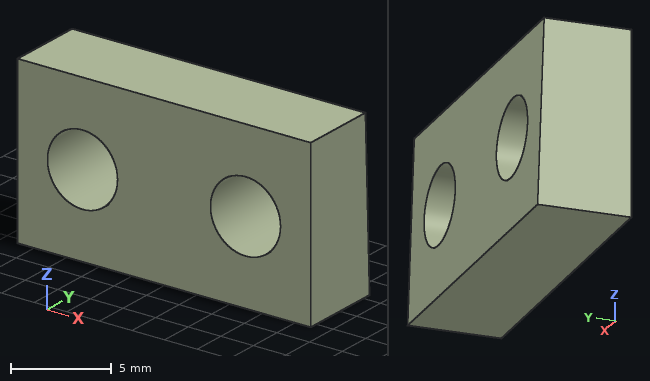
import cadquery as cq
import math

length = 18.0
height = 10.0
base_thickness = 5.0
back_draft_angle = 2.0
top_thickness = base_thickness - height * math.tan(math.radians(back_draft_angle))

hole_diameter = 4.3
hole_spacing = 10.0
first_hole_x = 4.0


def tapered_block():
    """Block with an upright front face at Y = 0 and a back face leaning inward toward the top."""
    return (
        cq.Workplane("YZ")
        .moveTo(0, 0)
        .lineTo(base_thickness, 0)
        .lineTo(top_thickness, height)
        .lineTo(0, height)
        .close()
        .extrude(length)
    )


def through_hole(x):
    """Cutter running along Y through the full thickness at mid height."""
    return (
        cq.Workplane("XZ")
        .center(x, height / 2)
        .circle(hole_diameter / 2)
        .extrude(-base_thickness)
    )


result = tapered_block()
for hole_x in (first_hole_x, first_hole_x + hole_spacing):
    result = result.cut(through_hole(hole_x))